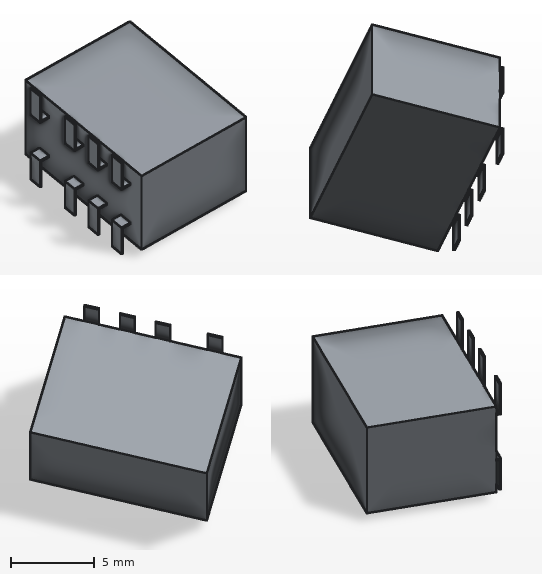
import cadquery as cq

body_length = 10.9
body_depth = 8.1
body_height = 6.01

terminal_width = 0.9
terminal_thickness = 0.1
terminal_standoff = 0.7
overall_height = 7.4
row_gap = 3.1

first_terminal = 1.79
wide_pitch = 3.22
narrow_pitch = 2.2
narrow_group_count = 3
second_terminal = first_terminal + wide_pitch
terminal_centres = [first_terminal] + [
    second_terminal + i * narrow_pitch for i in range(narrow_group_count)
]


def make_body():
    """Plain block with its front face on Y = 0, centred on X and Z."""
    return cq.Workplane("XY").box(
        body_length, body_depth, body_height, centered=(True, False, True)
    )


def make_upper_terminal(x_centre):
    """L-shaped strip: a foot leaving the body, then a pad turned up along Z."""
    foot_bottom = row_gap / 2
    foot_top = foot_bottom + terminal_thickness
    tip = overall_height / 2
    pad_front = -terminal_standoff
    pad_back = pad_front + terminal_thickness
    profile = [
        (0, foot_bottom),
        (pad_front, foot_bottom),
        (pad_front, tip),
        (pad_back, tip),
        (pad_back, foot_top),
        (0, foot_top),
    ]
    return (
        cq.Workplane("YZ", origin=(x_centre, 0, 0))
        .polyline(profile)
        .close()
        .extrude(terminal_width / 2, both=True)
    )


result = make_body()
for centre in terminal_centres:
    upper = make_upper_terminal(centre - body_length / 2)
    lower = upper.mirror("XY")
    result = result.union(upper).union(lower)